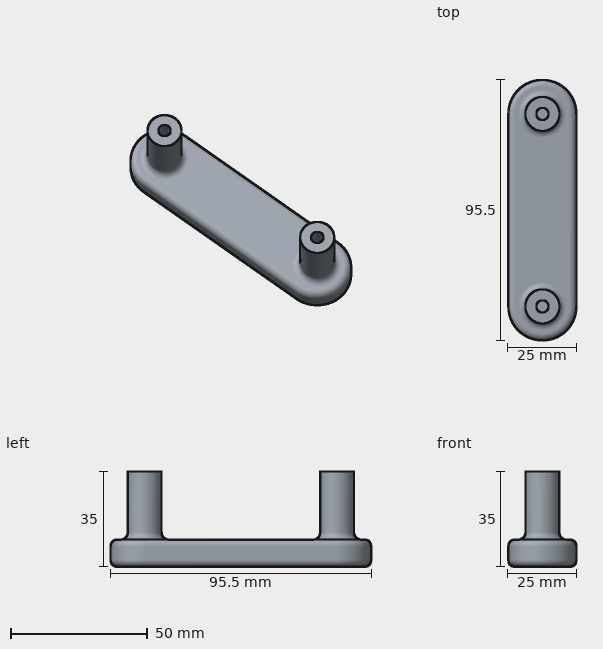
import cadquery as cq

grip_length = 95.5
grip_width = 25.0
grip_thickness = 10.0
overall_height = 35.0
edge_radius = 2.5
post_diameter = 12.5
post_root_radius = 2.5
hole_diameter = 4.5
hole_depth = 15.0

post_spacing = grip_length - grip_width
post_centres = [(0, -post_spacing / 2), (0, post_spacing / 2)]


def make_grip():
    """Flat bar with full-round ends and rounded top and bottom rims."""
    bar = cq.Workplane("XY").slot2D(grip_length, grip_width, 90).extrude(grip_thickness)
    return bar.faces("|Z").edges().fillet(edge_radius)


def make_post(centre):
    """Round post flaring into the grip through a concave root fillet."""
    post_radius = post_diameter / 2
    flare_radius = post_radius + post_root_radius
    arc_offset = post_root_radius * (1 - 0.5 ** 0.5)
    profile = (
        cq.Workplane("XZ")
        .lineTo(flare_radius, 0)
        .threePointArc(
            (post_radius + arc_offset, arc_offset),
            (post_radius, post_root_radius),
        )
        .lineTo(post_radius, overall_height - grip_thickness)
        .lineTo(0, overall_height - grip_thickness)
        .close()
    )
    post = profile.revolve(360, (0, 0, 0), (0, 1, 0))
    return post.translate((*centre, grip_thickness))


handle = make_grip()
for post_centre in post_centres:
    handle = handle.union(make_post(post_centre))

result = (
    handle.faces(">Z")
    .workplane(origin=(0, 0, overall_height))
    .pushPoints(post_centres)
    .hole(hole_diameter, hole_depth)
)